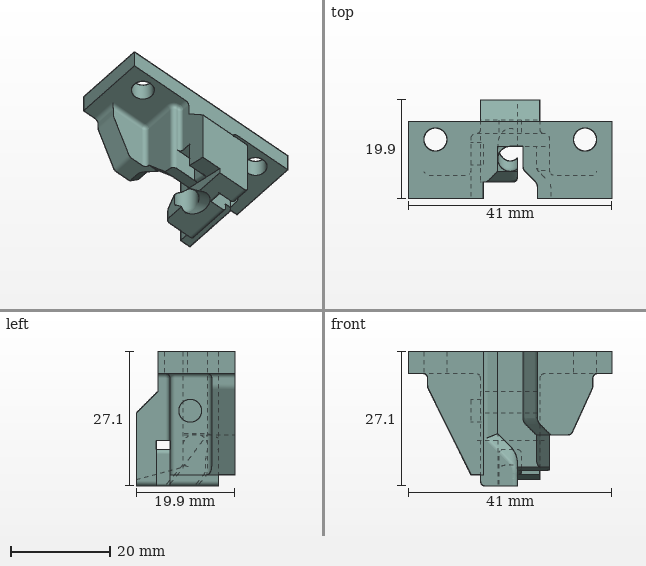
import cadquery as cq
import math


PLATE_LENGTH = 41
PLATE_DEPTH = 15.55
PLATE_THICKNESS = 4.45
MOUNT_HOLE_DIAMETER = 4.6
MOUNT_HOLE_X = 15.05
MOUNT_HOLE_Y = 11.9

TOTAL_DEPTH = 19.85
TOTAL_HEIGHT = 27.1
RIB_HALF_WIDTH = 16.65
RIB_DEPTH = 4.67
CORE_HALF_WIDTH = 7.9
CORE_REAR_Y = 13.08
BLOCK_HALF_WIDTH = 6.0
LEFT_BOTTOM_Z = -24.8
RIGHT_RIB_BOTTOM_Z = -16.8
SLANT_TOP_Z = -7.2
RIGHT_SLANT_END_X = 12.25
REAR_CHAMFER_TOP_Z = -8.05
CORNER_RADIUS = 1.0
BLOCK_CORNER_RADIUS = 0.8
UNDER_PLATE_RADIUS = 0.9
SLANT_RADIUS = 2.0
SIDE_HOLE_DIAMETER = 4.6
SIDE_HOLE_LENGTH = 2.5
SIDE_HOLE_Y = 9
SIDE_HOLE_Z = -11.95

CHANNEL_HALF_WIDTH = 2.55
CHANNEL_REAR_Y = 10.5
FLARE_REAR_Y = 5.5
NOTCH_REAR_Y = 3.32
NOTCH_LEFT_X = -5.4
RIGHT_BEND_Z = -14.1
RIGHT_BEND_RADIUS = 2.0
RIGHT_SHIFT = RIGHT_BEND_Z - RIGHT_RIB_BOTTOM_Z
RIGHT_FLARE_REAR_Y = 5.9
RIGHT_FLARE_WIDTH = 2.9
RIGHT_FLARE_RADIUS = 1.7
LEFT_BEND_Z = -16.52
RAMP_RADIUS = 5.0
RAMP_END_X = RAMP_RADIUS * (1 - math.cos(math.pi / 4))

BORE_RADIUS = 2.5
BORE_Y = (FLARE_REAR_Y + CHANNEL_REAR_Y) / 2
BORE_TOP_Z = -14.9
BORE_ELBOW_Z = -23.7
BORE_SLOPE = math.radians(50)

RIGHT_BOTTOM_Z = -23.3
UNDERSIDE_FALL = math.radians(15)
SLOT_TOP_Z = -17.95
SLOT_REAR_Y = 15.83
SLOT_CORE_TOP_Z = -19.7
SLOT_CORE_HALF_WIDTH = 2.3
SLOT_CORE_BOTTOM_RADIUS = 0.55

MARGIN = 0.4
TOLERANCE = 0.05


def box(x0, x1, y0, y1, z0, z1):
    return cq.Workplane("XY").box(x1 - x0, y1 - y0, z1 - z0, centered=False).translate((x0, y0, z0))


def front_extrusion(profile, y0, y1):
    """Extrude a closed XZ profile, drawn on the XZ plane, from y0 to y1."""
    return profile.extrude(y0 - y1).translate((0, y0, 0))


def body_plan():
    """Plan of ribs, core and block, stacked front to back, with rounded wall corners."""
    half_plan = [
        (RIB_HALF_WIDTH, 0),
        (RIB_HALF_WIDTH, RIB_DEPTH),
        (CORE_HALF_WIDTH, RIB_DEPTH),
        (CORE_HALF_WIDTH, CORE_REAR_Y),
        (BLOCK_HALF_WIDTH, CORE_REAR_Y),
        (BLOCK_HALF_WIDTH, TOTAL_DEPTH),
    ]
    mirrored = [(-x, y) for x, y in reversed(half_plan)]
    plan = cq.Workplane("XY").polyline(half_plan + mirrored).close().extrude(-TOTAL_HEIGHT)
    roundings = [
        (CORE_HALF_WIDTH, RIB_DEPTH, CORNER_RADIUS),
        (CORE_HALF_WIDTH, CORE_REAR_Y, CORNER_RADIUS),
        (BLOCK_HALF_WIDTH, CORE_REAR_Y, BLOCK_CORNER_RADIUS),
    ]
    for side in (-1, 1):
        for x, y, radius in roundings:
            corner = cq.selectors.NearestToPointSelector((side * x, y, -TOTAL_HEIGHT / 2))
            plan = plan.edges("|Z").edges(corner).fillet(radius)
    return plan


def body_front():
    """Front outline: slanted ribs left and right, and the foot at the bottom."""
    outline = [
        (-RIB_HALF_WIDTH, 0),
        (-RIB_HALF_WIDTH, SLANT_TOP_Z),
        (-CORE_HALF_WIDTH, LEFT_BOTTOM_Z),
        (-BLOCK_HALF_WIDTH, LEFT_BOTTOM_Z),
        (-BLOCK_HALF_WIDTH, -TOTAL_HEIGHT),
        (CORE_HALF_WIDTH, -TOTAL_HEIGHT),
        (CORE_HALF_WIDTH, RIGHT_RIB_BOTTOM_Z),
        (RIGHT_SLANT_END_X, RIGHT_RIB_BOTTOM_Z),
        (RIB_HALF_WIDTH, SLANT_TOP_Z),
        (RIB_HALF_WIDTH, 0),
    ]
    solid = front_extrusion(cq.Workplane("XZ").polyline(outline).close(), 0, TOTAL_DEPTH)
    roundings = [
        ((-RIB_HALF_WIDTH, SLANT_TOP_Z), SLANT_RADIUS),
        ((RIB_HALF_WIDTH, SLANT_TOP_Z), SLANT_RADIUS),
        ((RIGHT_SLANT_END_X, RIGHT_RIB_BOTTOM_Z), CORNER_RADIUS),
        ((-BLOCK_HALF_WIDTH, -TOTAL_HEIGHT), CORNER_RADIUS),
    ]
    for (x, z), radius in roundings:
        corner = cq.selectors.NearestToPointSelector((x, TOTAL_DEPTH / 2, z))
        solid = solid.edges("|Y").edges(corner).fillet(radius)
    return solid


def body_side():
    """Side outline: the front stays behind the foot line, the rear block has a sloped top."""
    overhang = TOTAL_DEPTH - PLATE_DEPTH
    outline = [
        (0, 0),
        (PLATE_DEPTH, 0),
        (PLATE_DEPTH, REAR_CHAMFER_TOP_Z),
        (TOTAL_DEPTH, REAR_CHAMFER_TOP_Z - overhang),
        (TOTAL_DEPTH, -TOTAL_HEIGHT),
        (NOTCH_REAR_Y, -TOTAL_HEIGHT),
        (NOTCH_REAR_Y, LEFT_BOTTOM_Z),
        (0, LEFT_BOTTOM_Z),
    ]
    return cq.Workplane("YZ").polyline(outline).close().extrude(RIB_HALF_WIDTH, both=True)


def plate():
    half = PLATE_LENGTH / 2
    return box(-half, half, 0, PLATE_DEPTH, -PLATE_THICKNESS, 0)


def under_plate_edges(solid):
    """Inner corners where the body walls meet the underside of the plate."""
    reach = RIB_HALF_WIDTH + MARGIN
    low = -PLATE_THICKNESS - TOLERANCE
    high = -PLATE_THICKNESS + TOLERANCE
    level = cq.selectors.BoxSelector((-reach, TOLERANCE, low), (reach, PLATE_DEPTH - TOLERANCE, high))
    return solid.edges(level)


def left_path(drop, shift):
    """XZ outline of the space right of the channel's left wall, moved down and to the left."""
    x = -CHANNEL_HALF_WIDTH - shift
    ramp_end = LEFT_BEND_Z - CHANNEL_HALF_WIDTH - drop
    arc_mid = (
        RAMP_END_X - RAMP_RADIUS * (1 - math.cos(math.pi / 8)),
        ramp_end - RAMP_RADIUS * (math.sin(math.pi / 4) - math.sin(math.pi / 8)),
    )
    arc_end = (RAMP_END_X, ramp_end - RAMP_RADIUS * math.sin(math.pi / 4))
    far_x = PLATE_LENGTH / 2
    floor = -TOTAL_HEIGHT - MARGIN
    return (
        cq.Workplane("XZ")
        .moveTo(far_x, MARGIN)
        .lineTo(x, MARGIN)
        .lineTo(x, ramp_end - x)
        .lineTo(0, ramp_end)
        .threePointArc(arc_mid, arc_end)
        .lineTo(RAMP_END_X, floor)
        .lineTo(far_x, floor)
        .close()
    )


def left_space():
    """Everything to the right of the channel's left wall."""
    flare = FLARE_REAR_Y - NOTCH_REAR_Y
    rear_wire = left_path(0, 0).val().moved(cq.Location(cq.Vector(0, FLARE_REAR_Y, 0)))
    front_wire = left_path(flare * math.sqrt(2), flare).val()
    front_wire = front_wire.moved(cq.Location(cq.Vector(0, NOTCH_REAR_Y, 0)))
    flare_space = cq.Workplane(cq.Solid.makeLoft([front_wire, rear_wire], True))
    notch = box(NOTCH_LEFT_X, PLATE_LENGTH / 2, -MARGIN, NOTCH_REAR_Y, -TOTAL_HEIGHT - MARGIN, MARGIN)
    rear = front_extrusion(left_path(0, 0), FLARE_REAR_Y, CHANNEL_REAR_Y)
    space = rear.union(flare_space).union(notch)
    lip = cq.selectors.BoxSelector(
        (NOTCH_LEFT_X + TOLERANCE, NOTCH_REAR_Y - TOLERANCE, -TOTAL_HEIGHT - MARGIN / 2),
        (RAMP_END_X + TOLERANCE, NOTCH_REAR_Y + TOLERANCE, MARGIN / 2),
    )
    return space.edges(lip).fillet(CORNER_RADIUS)


def right_section(shift):
    """Plan of the space left of the channel's right wall."""
    wall = CHANNEL_HALF_WIDTH + shift
    rib_wall = wall + RIGHT_FLARE_WIDTH
    far_x = -PLATE_LENGTH / 2
    sketch = (
        cq.Sketch()
        .polygon([
            (far_x, -MARGIN),
            (rib_wall, -MARGIN),
            (rib_wall, RIGHT_FLARE_REAR_Y - RIGHT_FLARE_WIDTH),
            (wall, RIGHT_FLARE_REAR_Y),
            (wall, CHANNEL_REAR_Y),
            (far_x, CHANNEL_REAR_Y),
            (far_x, -MARGIN),
        ])
    )
    flare_ends = cq.selectors.BoxSelector(
        (wall - MARGIN, 0, -MARGIN),
        (rib_wall + MARGIN, CHANNEL_REAR_Y - MARGIN, MARGIN),
    )
    return sketch.vertices(flare_ends).fillet(RIGHT_FLARE_RADIUS)


def right_space():
    """Everything to the left of the channel's right wall."""
    upper = cq.Workplane("XY").workplane(offset=RIGHT_BEND_Z).placeSketch(right_section(0))
    upper = upper.extrude(MARGIN - RIGHT_BEND_Z)
    middle = cq.Workplane("XY").placeSketch(
        right_section(0).moved(cq.Location(cq.Vector(0, 0, RIGHT_BEND_Z))),
        right_section(RIGHT_SHIFT).moved(cq.Location(cq.Vector(0, 0, RIGHT_RIB_BOTTOM_Z))),
    ).loft(ruled=True)
    lower = cq.Workplane("XY").workplane(offset=RIGHT_RIB_BOTTOM_Z).placeSketch(right_section(RIGHT_SHIFT))
    lower = lower.extrude(-TOTAL_HEIGHT - MARGIN - RIGHT_RIB_BOTTOM_Z)
    space = upper.union(middle).union(lower)
    bend = cq.selectors.BoxSelector(
        (0, -2 * MARGIN, RIGHT_BEND_Z - TOLERANCE),
        (PLATE_LENGTH, CHANNEL_REAR_Y - TOLERANCE, RIGHT_BEND_Z + TOLERANCE),
    )
    return space.edges(bend).fillet(RIGHT_BEND_RADIUS)


def underside_z(y):
    """Height of the falling underside behind the channel."""
    return RIGHT_BOTTOM_Z - (y - CHANNEL_REAR_Y) * math.tan(UNDERSIDE_FALL)


def underside():
    """Space below the body, right of the foot: a slope under the rib, then a gentle fall to the rear."""
    slope_start_y = RIB_DEPTH + CORNER_RADIUS
    end_y = TOTAL_DEPTH + MARGIN
    floor = -TOTAL_HEIGHT - MARGIN
    outline = [
        (-MARGIN, RIGHT_RIB_BOTTOM_Z),
        (slope_start_y, RIGHT_RIB_BOTTOM_Z),
        (CHANNEL_REAR_Y, RIGHT_BOTTOM_Z),
        (end_y, underside_z(end_y)),
        (end_y, floor),
        (-MARGIN, floor),
    ]
    start = cq.Workplane("YZ", origin=(RAMP_END_X, 0, 0))
    space = start.polyline(outline).close().extrude(PLATE_LENGTH / 2)

    wall_x = CHANNEL_HALF_WIDTH + RIGHT_SHIFT
    space = space.union(box(RAMP_END_X, wall_x, -MARGIN, CHANNEL_REAR_Y, floor, RIGHT_RIB_BOTTOM_Z))
    wall_foot = cq.selectors.NearestToPointSelector((
        wall_x,
        (slope_start_y + CHANNEL_REAR_Y) / 2,
        (RIGHT_RIB_BOTTOM_Z + RIGHT_BOTTOM_Z) / 2,
    ))
    return space.edges(wall_foot).fillet(CORNER_RADIUS)


def guide_bore():
    """Bore with a vertical run, squared in its rear right quarter, a ball elbow and a sloped run."""
    vertical = cq.Solid.makeCylinder(
        BORE_RADIUS,
        BORE_TOP_Z - BORE_ELBOW_Z,
        cq.Vector(0, BORE_Y, BORE_ELBOW_Z),
    )
    sloped = cq.Solid.makeCylinder(
        BORE_RADIUS,
        TOTAL_HEIGHT,
        cq.Vector(0, BORE_Y, BORE_ELBOW_Z),
        cq.Vector(0, math.cos(BORE_SLOPE), -math.sin(BORE_SLOPE)),
    )
    elbow = cq.Workplane("XY", origin=(0, BORE_Y, BORE_ELBOW_Z)).sphere(BORE_RADIUS)
    corner = box(0, CHANNEL_HALF_WIDTH, BORE_Y, CHANNEL_REAR_Y, BORE_ELBOW_Z, BORE_TOP_Z)
    return elbow.union(cq.Workplane(vertical)).union(cq.Workplane(sloped)).union(corner)


def cross_slot():
    """Cross slot through the block and foot, wrapping around a rounded core."""
    outer = box(-CORE_HALF_WIDTH - MARGIN, CORE_HALF_WIDTH + MARGIN, CORE_REAR_Y, SLOT_REAR_Y,
                -TOTAL_HEIGHT - MARGIN, SLOT_TOP_Z)
    core = box(-SLOT_CORE_HALF_WIDTH, SLOT_CORE_HALF_WIDTH, CORE_REAR_Y, SLOT_REAR_Y,
               -TOTAL_HEIGHT, SLOT_CORE_TOP_Z)
    core = core.edges("|Y and >Z").fillet(CORNER_RADIUS)
    core = core.edges("|Y and <Z and <X").fillet(SLOT_CORE_BOTTOM_RADIUS)
    return outer.cut(core)


def mount_holes():
    holes = cq.Workplane("XY").pushPoints([(-MOUNT_HOLE_X, MOUNT_HOLE_Y), (MOUNT_HOLE_X, MOUNT_HOLE_Y)])
    return holes.circle(MOUNT_HOLE_DIAMETER / 2).extrude(-PLATE_THICKNESS - MARGIN)


def side_hole():
    """Blind hole in the left side of the core."""
    start = cq.Workplane("YZ", origin=(-CORE_HALF_WIDTH, SIDE_HOLE_Y, SIDE_HOLE_Z))
    return start.circle(SIDE_HOLE_DIAMETER / 2).extrude(SIDE_HOLE_LENGTH)


body = body_plan().intersect(body_front()).intersect(body_side())
body = body.union(plate())
body = under_plate_edges(body).fillet(UNDER_PLATE_RADIUS)
channel = left_space().intersect(right_space())
for tool in (channel, underside(), guide_bore(), cross_slot(), mount_holes(), side_hole()):
    body = body.cut(tool)

slot_y = (CORE_REAR_Y + SLOT_REAR_Y) / 2
slot_core_edge = cq.selectors.NearestToPointSelector((SLOT_CORE_HALF_WIDTH, slot_y, underside_z(slot_y)))
result = body.edges(slot_core_edge).fillet(SLOT_CORE_BOTTOM_RADIUS)